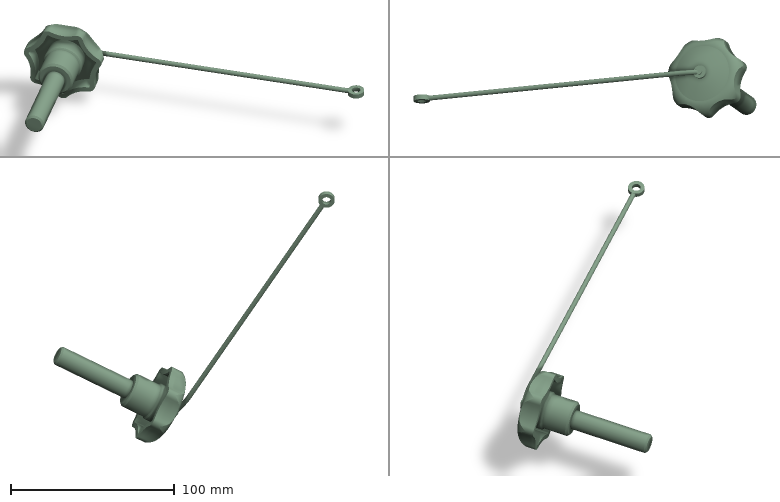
import cadquery as cq
import math


stud_diameter = 12
stud_length = 50
stud_chamfer = 1.1
hub_diameter = 22
hub_length = 17
hub_chamfer = 1.25

lobe_count = 7
knob_radius = 25
lobe_radius = 4
flute_radius = 20
rim_height = 12.5
rim_fillet = 7.5
crown_height = 2.5
wall = 3
pocket_depth = 9
boss_diameter = 24
boss_chamfer = 1
boss_recess = 0.4

button_diameter = 8
button_thickness = 1.5
button_rise = 2
pin_diameter = 3.5
pin_top_rise = 0.9
pin_sink = 0.5

strap_diameter = 3
strap_clearance = 3
bend_angle = math.radians(10)
bend_radius = 60
bend_start_x = 15.2
strap_end_x = -1.2
eye_x = 181
eye_diameter = 10
eye_hole_diameter = 5.3
eye_thickness = strap_diameter + 0.02

knob_base_y = hub_length
rim_top_y = knob_base_y + rim_height
crown_y = rim_top_y + crown_height
strap_y = crown_y + strap_clearance
lobe_centre_radius = knob_radius - lobe_radius


def polar(radius, angle):
    return radius * math.cos(angle), radius * math.sin(angle)


def cylinder_y(diameter, start_y, length):
    """Round bar on the screw axis, growing toward +Y."""
    return cq.Workplane("XZ", origin=(0, start_y, 0)).circle(diameter / 2).extrude(-length)


def star_prism(inset, start_y, length):
    """Lobed star, shrunk evenly by `inset`, with one lobe pointing along -Z."""
    half_pitch = math.pi / lobe_count
    tip_radius = lobe_radius - inset
    valley_radius = flute_radius + inset
    lobe_x, lobe_offset = polar(lobe_centre_radius, half_pitch)
    centre_distance = lobe_radius + flute_radius
    flute_lean = math.asin(lobe_offset / centre_distance)
    flute_x = lobe_x + centre_distance * math.cos(flute_lean)
    join_x = flute_x - valley_radius * math.cos(flute_lean)
    join_offset = valley_radius * math.sin(flute_lean)
    join_radius = math.hypot(join_x, join_offset)
    join_angle = half_pitch - math.atan2(join_offset, join_x)

    first_lobe = -math.pi / 2
    outline = cq.Workplane("XZ", origin=(0, start_y, 0)).moveTo(*polar(join_radius, first_lobe - join_angle))
    for index in range(lobe_count):
        lobe = first_lobe + 2 * half_pitch * index
        outline = outline.threePointArc(
            polar(lobe_centre_radius + tip_radius, lobe),
            polar(join_radius, lobe + join_angle),
        )
        outline = outline.threePointArc(
            polar(flute_x - valley_radius, lobe + half_pitch),
            polar(join_radius, lobe + 2 * half_pitch - join_angle),
        )
    return outline.close().extrude(-length)


def crowned_blank():
    """Turned blank that gives the knob its rounded rim and domed crown."""
    flat_radius = knob_radius - rim_fillet
    dome_radius = (flat_radius**2 + crown_height**2) / (2 * crown_height)
    fillet_mid = polar(rim_fillet, math.pi / 4)
    dome_mid_x = flat_radius / 2
    dome_mid_y = crown_y - dome_radius + math.sqrt(dome_radius**2 - dome_mid_x**2)
    return (
        cq.Workplane("XY")
        .moveTo(0, knob_base_y)
        .lineTo(knob_radius, knob_base_y)
        .lineTo(knob_radius, rim_top_y - rim_fillet)
        .threePointArc(
            (flat_radius + fillet_mid[0], rim_top_y - rim_fillet + fillet_mid[1]),
            (flat_radius, rim_top_y),
        )
        .threePointArc((dome_mid_x, dome_mid_y), (0, crown_y))
        .close()
        .revolve(360, (0, 0, 0), (0, 1, 0))
    )


def knob():
    solid = star_prism(0, knob_base_y, rim_height + crown_height).intersect(crowned_blank())
    solid = solid.cut(star_prism(wall, knob_base_y, pocket_depth))
    taper_end_y = knob_base_y + boss_recess - boss_chamfer
    boss_length = pocket_depth - boss_recess + boss_chamfer
    boss = cylinder_y(boss_diameter, taper_end_y, boss_length).faces("<Y").chamfer(boss_chamfer)
    return solid.union(boss)


def screw():
    hub = cylinder_y(hub_diameter, 0, hub_length).faces("<Y").chamfer(hub_chamfer)
    stud = cylinder_y(stud_diameter, -stud_length, stud_length).faces("<Y").chamfer(stud_chamfer)
    return hub.union(stud)


def strap():
    """Round strap that bends down into the button, with an eye at its far end."""
    bend_centre_y = strap_y - bend_radius
    bend_mid = polar(bend_radius, math.pi / 2 + bend_angle / 2)
    bend_end = polar(bend_radius, math.pi / 2 + bend_angle)
    bend_end_x = bend_start_x + bend_end[0]
    bend_end_y = bend_centre_y + bend_end[1]
    strap_end_y = bend_end_y + (strap_end_x - bend_end_x) * math.tan(bend_angle)
    path = (
        cq.Workplane("XY")
        .moveTo(eye_x, strap_y)
        .lineTo(bend_start_x, strap_y)
        .threePointArc((bend_start_x + bend_mid[0], bend_centre_y + bend_mid[1]), (bend_end_x, bend_end_y))
        .lineTo(strap_end_x, strap_end_y)
    )
    rod = cq.Workplane("YZ", origin=(eye_x, strap_y, 0)).circle(strap_diameter / 2).sweep(path)
    eye_base = cq.Workplane("XY", origin=(eye_x, strap_y, -eye_thickness / 2))
    eye = eye_base.circle(eye_diameter / 2).extrude(eye_thickness)
    hole = eye_base.circle(eye_hole_diameter / 2).extrude(eye_thickness)
    return rod.union(eye).cut(hole)


def button():
    """Disc that anchors the strap, held just clear of the crown by a pin sunk into it."""
    disc_top_y = crown_y + button_rise
    disc = cylinder_y(button_diameter, disc_top_y - button_thickness, button_thickness)
    pin = cylinder_y(pin_diameter, crown_y - pin_sink, disc_top_y + pin_top_rise - crown_y + pin_sink)
    return disc.union(pin)


result = knob().union(screw()).union(button()).union(strap())